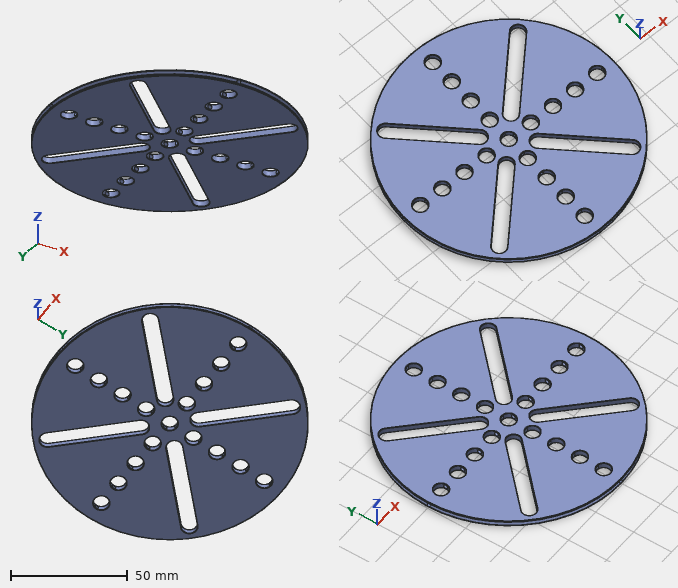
import cadquery as cq
import math

disc_diameter = 118.75
disc_radius = disc_diameter / 2
thickness = 3.12
mid_height = thickness / 2
edge_chamfer = 0.25

groove_width = 1.8
groove_depth = 1.0

hole_diameter = 7.0
hole_pitch = 12.5
holes_per_arm = 4

slot_width = hole_diameter
slot_inner_distance = hole_pitch
slot_outer_offset = 3 * hole_pitch
slot_outer_distance = slot_outer_offset * math.sqrt(2)
slot_angles = (45, 135, 225, 315)

passage_diameter = 2.0
passage_angles = (0, 90)


def make_disc():
    profile = (
        cq.Workplane("XZ")
        .moveTo(0, 0)
        .lineTo(disc_radius - edge_chamfer, 0)
        .lineTo(disc_radius, edge_chamfer)
        .lineTo(disc_radius, mid_height - groove_width / 2)
        .lineTo(disc_radius - groove_depth, mid_height)
        .lineTo(disc_radius, mid_height + groove_width / 2)
        .lineTo(disc_radius, thickness - edge_chamfer)
        .lineTo(disc_radius - edge_chamfer, thickness)
        .lineTo(0, thickness)
        .close()
    )
    disc = profile.revolve(360, (0, 0), (0, 1))
    return disc.rotate((0, 0, 0), (0, 0, 1), slot_angles[0])


def cut_holes(body):
    arm_steps = range(-holes_per_arm, holes_per_arm + 1)
    along_x = [(step * hole_pitch, 0) for step in arm_steps]
    along_y = [(0, step * hole_pitch) for step in arm_steps if step != 0]
    cutter = cq.Workplane("XY").pushPoints(along_x + along_y).circle(hole_diameter / 2).extrude(thickness)
    return body.cut(cutter)


def cut_slots(body):
    end_spacing = slot_outer_distance - slot_inner_distance
    slot_middle = (slot_inner_distance + slot_outer_distance) / 2
    slot = (
        cq.Workplane("XY")
        .center(slot_middle, 0)
        .slot2D(end_spacing + slot_width, slot_width)
        .extrude(thickness)
    )
    for angle in slot_angles:
        body = body.cut(slot.rotate((0, 0, 0), (0, 0, 1), angle))
    return body


def chamfer_openings(body):
    for face_selector in ("<Z", ">Z"):
        openings = [edge for wire in body.faces(face_selector).val().innerWires() for edge in wire.Edges()]
        body = body.newObject(openings).chamfer(edge_chamfer)
    return body


def cut_passages(body):
    passage = (
        cq.Workplane("XY")
        .circle(passage_diameter / 2)
        .extrude(disc_diameter, both=True)
        .rotate((0, 0, 0), (0, 1, 0), 90)
        .translate((0, 0, mid_height))
    )
    for angle in passage_angles:
        body = body.cut(passage.rotate((0, 0, 0), (0, 0, 1), angle))
    return body


result = make_disc()
result = cut_holes(result)
result = cut_slots(result)
result = chamfer_openings(result)
result = cut_passages(result)